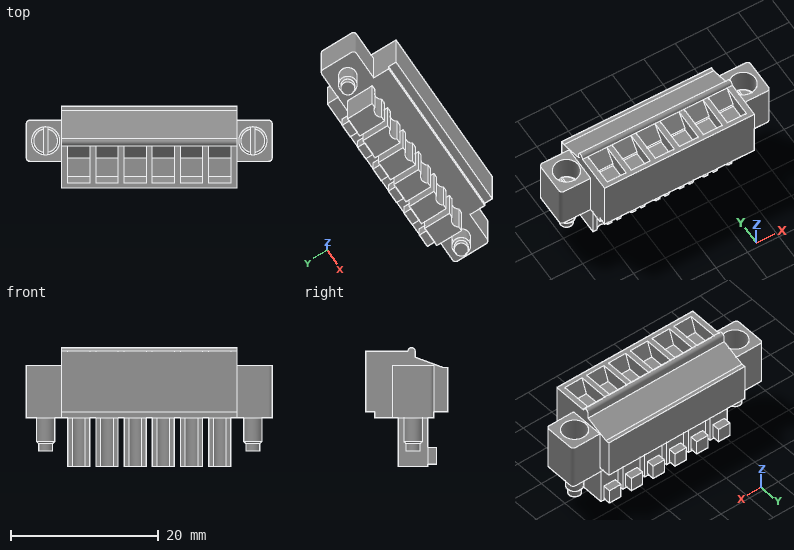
import cadquery as cq
import math


pole_count = 6
pole_pitch = 3.81
pole_width = 3.0
pole_x = [(i - (pole_count - 1) / 2) * pole_pitch for i in range(pole_count)]

block_length = 23.75
block_front_y = -6.4
block_back_y = 4.7
block_top_z = 9.0
foot_height = 0.8
foot_front_inset = 1.2

ledge_width = 0.6
ledge_z = 6.8
slope_top_z = 8.2
ridge_radius = 0.5
ridge_y = -0.2

pocket_back_y = ridge_y - ridge_radius
pocket_front_y = -5.7
pocket_floor_back_y = -2.3
pocket_floor_front_y = -4.8
pocket_floor_z = 6.7
pocket_step_height = 0.4

leg_depth = 4.0
leg_length = 6.6
leg_groove_radius = 1.0
leg_groove_width = 1.7
latch_width = 2.0
latch_reach = 1.2
latch_height = 2.3
latch_top_z = -4.0

overall_length = 33.25
flange_depth = 5.6
flange_height = 7.1
flange_fillet = 0.5
flange_length = (overall_length - block_length) / 2

screw_x = 14.0
head_diameter = 3.8
head_top_z = 3.5
head_height = 2.0
head_chamfer = 0.3
head_seat_z = head_top_z - head_height
drive_slot_width = 0.6
drive_slot_depth = 0.6
shank_diameter = 2.5
shank_end_z = -3.2
tip_diameter = 1.9
tip_end_z = -4.5
tip_taper = (shank_diameter - tip_diameter) / 2


def extrude_along_x(profile, center_x, width):
    """Extrude a closed YZ profile to a width in X, centred on center_x."""
    return profile.extrude(width / 2, both=True).translate((center_x, 0, 0))


def make_block():
    foot_front_y = block_front_y + foot_front_inset
    foot_back_y = flange_depth / 2
    ridge_back_y = ridge_y + ridge_radius
    profile = (
        cq.Workplane("YZ")
        .moveTo(foot_front_y, 0)
        .lineTo(foot_back_y, 0)
        .lineTo(foot_back_y, foot_height)
        .lineTo(block_back_y, foot_height)
        .lineTo(block_back_y, ledge_z)
        .lineTo(block_back_y - ledge_width, ledge_z)
        .lineTo(ridge_back_y, slope_top_z)
        .lineTo(ridge_back_y, block_top_z)
        .threePointArc((ridge_y, block_top_z + ridge_radius), (ridge_y - ridge_radius, block_top_z))
        .lineTo(block_front_y, block_top_z)
        .lineTo(block_front_y, foot_height)
        .lineTo(foot_front_y, foot_height)
        .close()
    )
    return extrude_along_x(profile, 0, block_length)


def make_pocket(center_x):
    """Funnel-shaped wire entry, open at the top of the block."""
    profile = (
        cq.Workplane("YZ")
        .moveTo(pocket_back_y, block_top_z)
        .lineTo(pocket_floor_back_y, pocket_floor_z + pocket_step_height)
        .lineTo(pocket_floor_back_y, pocket_floor_z)
        .lineTo(pocket_floor_front_y, pocket_floor_z)
        .lineTo(pocket_front_y, block_top_z)
        .close()
    )
    return extrude_along_x(profile, center_x, pole_width)


def make_leg(center_x):
    """Contact leg with a round groove down its front and a narrower latch on its back."""
    shaft = cq.Workplane("XY").box(
        pole_width, leg_depth, leg_length, centered=(True, True, False)
    ).translate((center_x, 0, -leg_length))
    latch = cq.Workplane("XY").box(
        latch_width, latch_reach, latch_height, centered=(True, False, False)
    ).translate((center_x, leg_depth / 2, latch_top_z - latch_height))
    groove_offset = math.sqrt(leg_groove_radius**2 - (leg_groove_width / 2) ** 2)
    groove = (
        cq.Workplane("XY", origin=(center_x, -leg_depth / 2 - groove_offset, -leg_length))
        .circle(leg_groove_radius)
        .extrude(leg_length)
    )
    return shaft.union(latch).cut(groove)


def make_flange(side):
    """End flange with rounded outer corners; side is -1 or 1."""
    outer_edges = "|Z and >X" if side > 0 else "|Z and <X"
    center_x = side * (block_length + flange_length) / 2
    return (
        cq.Workplane("XY", origin=(center_x, 0, 0))
        .box(flange_length, flange_depth, flange_height, centered=(True, True, False))
        .edges(outer_edges)
        .fillet(flange_fillet)
    )


def make_screw_hole(side):
    """Clear hole for the shank, counterbored from the flange top for the head."""
    bore = cq.Workplane("XY").circle(shank_diameter / 2).extrude(flange_height)
    counterbore = (
        cq.Workplane("XY", origin=(0, 0, head_seat_z))
        .circle(head_diameter / 2)
        .extrude(flange_height - head_seat_z)
    )
    return bore.union(counterbore).translate((side * screw_x, 0, 0))


def make_housing():
    housing = make_block()
    for side in (-1, 1):
        housing = housing.union(make_flange(side)).cut(make_screw_hole(side))
    for x in pole_x:
        housing = housing.cut(make_pocket(x)).union(make_leg(x))
    return housing


def make_screw(side):
    """Slotted screw turned about Z, with a chamfered head and a reduced tip."""
    head_radius = head_diameter / 2
    shank_radius = shank_diameter / 2
    tip_radius = tip_diameter / 2
    body = (
        cq.Workplane("XZ")
        .moveTo(0, tip_end_z)
        .lineTo(tip_radius, tip_end_z)
        .lineTo(tip_radius, shank_end_z - tip_taper)
        .lineTo(shank_radius, shank_end_z)
        .lineTo(shank_radius, head_seat_z)
        .lineTo(head_radius, head_seat_z)
        .lineTo(head_radius, head_top_z - head_chamfer)
        .lineTo(head_radius - head_chamfer, head_top_z)
        .lineTo(0, head_top_z)
        .close()
        .revolve(360, (0, 0, 0), (0, 1, 0))
    )
    drive_slot = cq.Workplane("XY", origin=(0, 0, head_top_z - drive_slot_depth)).box(
        drive_slot_width, head_diameter, drive_slot_depth, centered=(True, True, False)
    )
    return body.cut(drive_slot).translate((side * screw_x, 0, 0))


housing = make_housing()
screws = [make_screw(side) for side in (-1, 1)]

result = cq.Compound.makeCompound([housing.val(), *[screw.val() for screw in screws]])